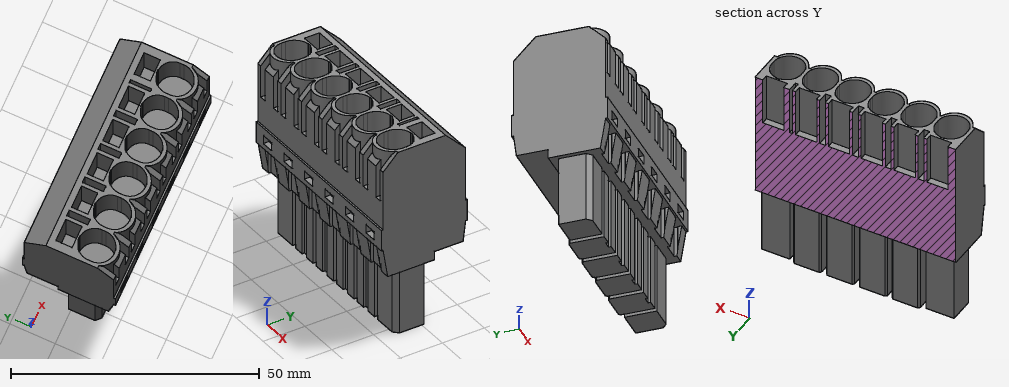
import cadquery as cq

length = 46.6
height = 44.7
depth = 20.6
pole_count = 6
end_to_pole = 4.25
pole_pitch = (length - 2 * end_to_pole) / (pole_count - 1)
pole_centers = [end_to_pole - length / 2 + i * pole_pitch for i in range(pole_count)]

band_lip = 0.4
half_band = depth / 2
half_body = half_band - band_lip
band_top = height - 17.5
band_bottom = height - 22.45
prong_length = 15.5
back_foot_bottom = prong_length + 2.0
back_foot_y = 2.42
back_toe_y = 9.3
front_toe_y = -8.75
front_bevel = 3.55
back_bevel = 4.8

entry_depth = 11.05
entry_width = 6.85
entry_span = 7.75
entry_y = -4.25
collar_radius = 3.78
collar_y = -5.2
guide_width = 0.75
guide_depth = 0.1
relief_outer = 3.15
tongue_width = 3.1

pocket_width = 4.85
pocket_span = 3.6
pocket_y = 1.9
slot_width = 1.25
slot_span = 4.65
slot_y = 1.55

window_width = 3.1
window_height = 1.95
window_depth = 1.35
window_top = height - 19.3

recess_floor_y = -8.2
recess_neck_y = -9.1
recess_half_mouth = 1.72
recess_undercut = 0.2

prong_width = 6.55
prong_front_y = -6.4
end_prong_back_y = 0.55
inner_prong_back_y = 1.3
end_prong_bevel = 1.05
inner_prong_bevel = 0.35
groove_width = 1.6
groove_depth = 0.55


def box(x_min, x_max, y_min, y_max, z_min, z_max):
    size = (x_max - x_min, y_max - y_min, z_max - z_min)
    return cq.Workplane("XY").box(*size, centered=False).translate((x_min, y_min, z_min))


def make_housing():
    """Housing cross-section swept along the row of poles."""
    outline = [
        (front_toe_y, prong_length),
        (-half_body, band_bottom),
        (-half_band, band_bottom),
        (-half_band, band_top),
        (-half_body, band_top),
        (-half_body, height - front_bevel),
        (-half_body + front_bevel, height),
        (half_body - back_bevel, height),
        (half_body, height - back_bevel),
        (half_body, band_top),
        (half_band, band_top),
        (half_band, band_bottom),
        (half_body, band_bottom),
        (back_toe_y, back_foot_bottom),
        (back_foot_y, back_foot_bottom),
        (back_foot_y, prong_length),
    ]
    return cq.Workplane("YZ").polyline(outline).close().extrude(length / 2, both=True)


def make_collar(x):
    """Round wall around a wire entry, standing proud of the front bevel."""
    collar = cq.Workplane("XY", origin=(x, collar_y, height - entry_depth))
    return collar.circle(collar_radius).extrude(entry_depth)


def make_relief(x):
    """Pair of front slots that reach back inside the collar and leave a tongue between them."""
    floor = height - entry_depth
    relief = box(x - relief_outer, x + relief_outer, -half_body, collar_y, floor, height)
    tongue = box(x - tongue_width / 2, x + tongue_width / 2, -half_body, collar_y, floor, height)
    return relief.cut(tongue)


def make_entry(x):
    """Wire entry: a round-ended opening, longer in Y than in X, with a guide groove at the back."""
    opening = cq.Workplane("XY", origin=(x, entry_y, height))
    entry = opening.slot2D(entry_span, entry_width, 90).extrude(-entry_depth)
    guide = box(x - guide_width / 2, x + guide_width / 2, entry_y, entry_y + entry_span / 2 + guide_depth,
                height - entry_depth, height)
    return entry.union(guide)


def make_pocket(x):
    """Rectangular release pocket behind a wire entry."""
    opening = cq.Workplane("XY", origin=(x, pocket_y, height))
    return opening.rect(pocket_width, pocket_span).extrude(-entry_depth)


def make_slot(index):
    """Narrow slot after the given pole; the last one has only its left half."""
    middle = pole_centers[index] + pole_pitch / 2
    is_last = index == pole_count - 2
    right = middle if is_last else middle + slot_width / 2
    return box(middle - slot_width / 2, right, slot_y - slot_span / 2, slot_y + slot_span / 2,
               height - entry_depth, height)


def make_window(x):
    """Shallow rectangular window in the front of the band."""
    return box(x - window_width / 2, x + window_width / 2, -half_band, -half_band + window_depth,
               window_top - window_height, window_top)


def make_recess(x):
    """Flat-floored recess below the band, with a small 45-degree undercut behind its neck."""
    half_floor = recess_half_mouth + recess_undercut
    undercut_y = recess_neck_y + recess_undercut
    outline = [
        (x - recess_half_mouth, -half_band),
        (x - recess_half_mouth, recess_neck_y),
        (x - half_floor, undercut_y),
        (x - half_floor, recess_floor_y),
        (x + half_floor, recess_floor_y),
        (x + half_floor, undercut_y),
        (x + recess_half_mouth, recess_neck_y),
        (x + recess_half_mouth, -half_band),
    ]
    profile = cq.Workplane("XY", origin=(0, 0, prong_length)).polyline(outline).close()
    return profile.extrude(band_bottom - prong_length)


def make_inner_prong(x):
    """Prong with a front groove and bevelled back corners."""
    left = x - prong_width / 2
    right = x + prong_width / 2
    prong = box(left, right, prong_front_y, inner_prong_back_y, 0, prong_length)
    prong = prong.edges("|Z and >Y").chamfer(inner_prong_bevel)
    groove = box(x - groove_width / 2, x + groove_width / 2,
                 prong_front_y, prong_front_y + groove_depth, 0, prong_length)
    return prong.cut(groove)


def make_end_prong(x):
    """Plain prong with its outer front corner bevelled."""
    left = x - prong_width / 2
    right = x + prong_width / 2
    prong = box(left, right, prong_front_y, end_prong_back_y, 0, prong_length)
    outer_side = "<X" if x < 0 else ">X"
    return prong.faces(outer_side).edges("|Z and <Y").chamfer(end_prong_bevel)


result = make_housing()
for x in pole_centers:
    result = result.cut(make_relief(x))
for x in pole_centers:
    result = result.union(make_collar(x))
for x in pole_centers:
    result = result.cut(make_entry(x)).cut(make_pocket(x))
    result = result.cut(make_window(x)).cut(make_recess(x))
for index in range(pole_count - 1):
    result = result.cut(make_slot(index))
for x in pole_centers[1:-1]:
    result = result.union(make_inner_prong(x))
for x in (pole_centers[0], pole_centers[-1]):
    result = result.union(make_end_prong(x))